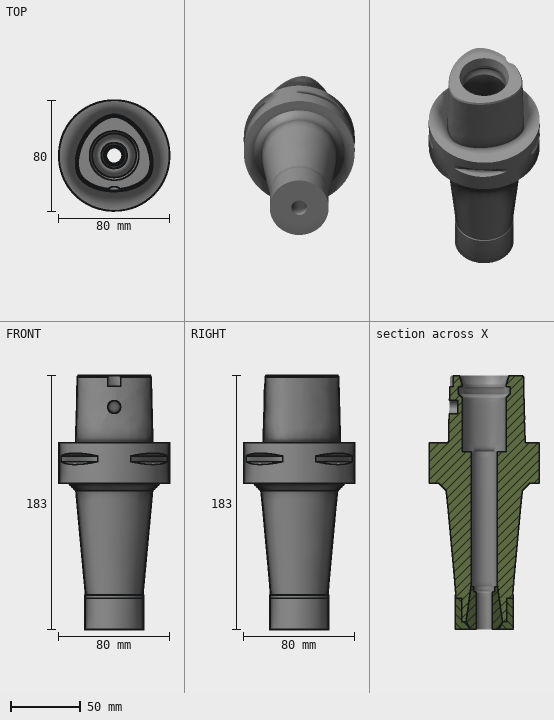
import cadquery as cq
import math

total_height = 183.0
flange_top = 134.7
flange_bottom = 105.2
taper_top = 100.1
taper_bottom = 25.3
collar_top = 24.7
nut_height = 22.5

flange_diameter = 80.0
flange_radius = flange_diameter / 2
flange_cone_radius = 32.8
taper_top_radius = flange_cone_radius - (flange_bottom - taper_top)
taper_end_radius = 20.7
collar_radius = 21.2

shank_base_radius = 27.8
shank_taper = 0.025
lobe_height = 1.8
shank_chamfer_height = 1.3
shank_chamfer_width = 0.7
shank_curve_points = 72

bore_mouth_radius = 17.8
bore_diameter = 31.7
bore_radius = bore_diameter / 2
mouth_cone_depth = 6.4
groove_radius = 18.7
groove_top_depth = 8.5
groove_cone_depth = 13.2
groove_bottom_depth = groove_cone_depth + groove_radius - bore_radius
bore_depth = 54.9
passage_radius = 9.2

notch_radius = 6.0
notch_floor_y = -22.3
notch_depth = 7.9
blind_hole_radius = 4.5
blind_hole_height = 160.3
blind_hole_floor_y = -19.4

gripper_count = 4
gripper_first_angle = 45.0
gripper_width_across_flats = 70.8
gripper_flat_distance = gripper_width_across_flats / 2
gripper_height = 123.0
gripper_floor_width = 4.0
gripper_mouth_width = 8.2

nose_radius = 16.5
nose_bottom = 5.5

collet_large_radius = 13.0
collet_half_angle = 8.0
collet_top = 31.1
collet_small_radius = collet_large_radius - (collet_top - nose_bottom) * math.tan(
    math.radians(collet_half_angle)
)
collet_front_half_angle = 30.0
collet_front_radius = collet_large_radius - nose_bottom * math.tan(math.radians(collet_front_half_angle))
collet_bore_radius = 5.7
collet_bore_chamfer = 0.7
collet_counterbore_radius = 7.5
collet_counterbore_depth = 3.7


def revolve_profile(points):
    """Solid of revolution about Z from (radius, height) points."""
    return cq.Workplane("XZ").polyline(points).close().revolve(360, (0, 0, 0), (0, 1, 0))


def polygon_wire(mean_radius, height):
    """Constant-width three-lobed outline with one lobe on +Y."""
    points = []
    for index in range(shank_curve_points):
        angle = 2 * math.pi * index / shank_curve_points
        lobe_angle = 3 * (angle - math.pi / 2)
        support = mean_radius + lobe_height * math.cos(lobe_angle)
        slope = -3 * lobe_height * math.sin(lobe_angle)
        x = support * math.cos(angle) - slope * math.sin(angle)
        y = support * math.sin(angle) + slope * math.cos(angle)
        points.append(cq.Vector(x, y, height))
    return cq.Wire.assembleEdges([cq.Edge.makeSpline(points, periodic=True)])


def make_shank():
    chamfer_start = total_height - shank_chamfer_height
    upper_radius = shank_base_radius - shank_taper * (chamfer_start - flange_top)
    base = polygon_wire(shank_base_radius, flange_top)
    upper = polygon_wire(upper_radius, chamfer_start)
    rim = polygon_wire(upper_radius - shank_chamfer_width, total_height)
    return cq.Workplane(cq.Solid.makeLoft([base, upper, rim], True))


def make_lower_housing():
    return revolve_profile([
        (0, nose_bottom),
        (nose_radius, nose_bottom),
        (nose_radius, nut_height),
        (collar_radius, nut_height),
        (collar_radius, collar_top),
        (taper_end_radius, taper_bottom),
        (taper_top_radius, taper_top),
        (flange_cone_radius, flange_bottom),
        (flange_radius, flange_bottom),
        (flange_radius, flange_top),
        (0, flange_top),
    ])


def make_housing_cavity():
    """Stepped bore from the shank mouth down through the collet seat."""
    return revolve_profile([
        (0, nose_bottom),
        (collet_large_radius, nose_bottom),
        (collet_small_radius, collet_top),
        (passage_radius, collet_top),
        (passage_radius, total_height - bore_depth),
        (bore_radius, total_height - bore_depth),
        (bore_radius, total_height - groove_bottom_depth),
        (groove_radius, total_height - groove_cone_depth),
        (groove_radius, total_height - groove_top_depth),
        (bore_radius, total_height - groove_top_depth),
        (bore_radius, total_height - mouth_cone_depth),
        (bore_mouth_radius, total_height),
        (0, total_height),
    ])


def make_notch():
    return (
        cq.Workplane("XY", origin=(0, notch_floor_y - notch_radius, total_height - notch_depth))
        .circle(notch_radius)
        .extrude(notch_depth)
    )


def make_blind_hole():
    return (
        cq.Workplane("XZ", origin=(0, blind_hole_floor_y, blind_hole_height))
        .circle(blind_hole_radius)
        .extrude(flange_radius)
    )


def make_gripper_groove(angle):
    """Straight trapezoidal groove, tangential to the flange at the given angle."""
    half_floor = gripper_floor_width / 2
    half_mouth = gripper_mouth_width / 2
    return (
        cq.Workplane("XZ")
        .polyline([
            (gripper_flat_distance, gripper_height - half_floor),
            (flange_radius, gripper_height - half_mouth),
            (flange_radius, gripper_height + half_mouth),
            (gripper_flat_distance, gripper_height + half_floor),
        ])
        .close()
        .extrude(flange_radius, both=True)
        .rotate((0, 0, 0), (0, 0, 1), angle)
    )


def make_housing():
    housing = make_lower_housing().union(make_shank())
    housing = housing.cut(make_housing_cavity()).cut(make_notch()).cut(make_blind_hole())
    for index in range(gripper_count):
        housing = housing.cut(make_gripper_groove(gripper_first_angle + index * 360 / gripper_count))
    return housing.solids()


def make_nut():
    """Cup over the housing nose, with a conical mouth that holds the collet."""
    return revolve_profile([
        (collet_front_radius, 0),
        (collar_radius, 0),
        (collar_radius, nut_height),
        (nose_radius, nut_height),
        (nose_radius, nose_bottom),
        (collet_large_radius, nose_bottom),
    ])


def make_collet():
    """Double-cone collet with a counterbored, chamfered through bore."""
    counterbore_floor = collet_top - collet_counterbore_depth
    return revolve_profile([
        (collet_bore_radius, 0),
        (collet_front_radius, 0),
        (collet_large_radius, nose_bottom),
        (collet_small_radius, collet_top),
        (collet_counterbore_radius, collet_top),
        (collet_counterbore_radius, counterbore_floor),
        (collet_bore_radius + collet_bore_chamfer, counterbore_floor),
        (collet_bore_radius, counterbore_floor - collet_bore_chamfer),
    ])


housing = make_housing()
nut = make_nut()
collet = make_collet()

result = cq.Compound.makeCompound([housing.val(), nut.val(), collet.val()])